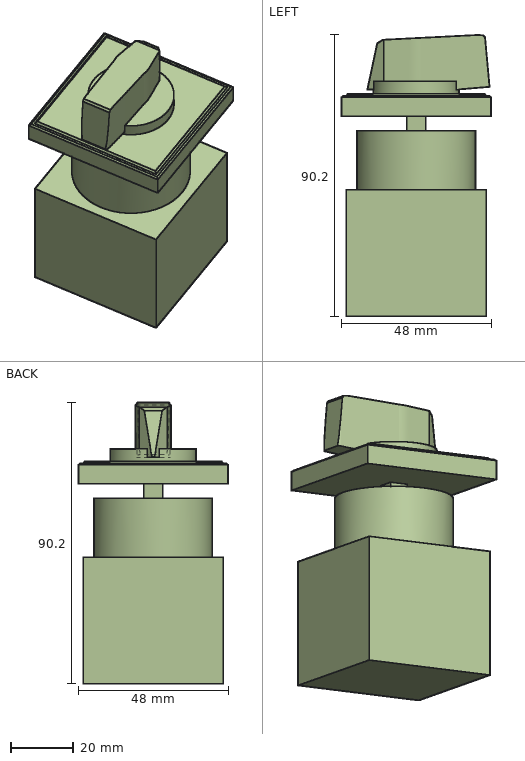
import cadquery as cq

block_width = 45.0
block_height = 40.6
collar_diameter = 38.1
collar_height = 18.9
shaft_width = 6.1
shaft_height = 4.5

collar_base_z = block_height
shaft_base_z = collar_base_z + collar_height
frame_base_z = shaft_base_z + shaft_height

frame_width = 48.0
frame_thickness = 6.6
frame_chamfer_run = 0.6
frame_chamfer_drop = 0.45
label_inset = 1.4
label_width = frame_width - 2 * label_inset
label_thickness = 0.6
label_chamfer_run = 0.6

label_base_z = frame_base_z + frame_thickness
knob_base_z = label_base_z + label_thickness

skirt_radius = 13.8
skirt_height = 4.1
knob_top_z = 90.2

pointer_tip_y = 15.7
pointer_tip_half_width = 0.9
pointer_tip_arc_start_y = 15.1
pointer_base_y = 10.4
pointer_base_half_width = 4.5
bulge_back_y = 2.6
bulge_front_y = -1.4
bulge_middle_y = (bulge_back_y + bulge_front_y) / 2
bulge_side_half_width = 5.6
bulge_half_width = 5.8
overhang_y = -12.9
overhang_half_width = 5.2
grip_end_y = -23.5
grip_end_half_width = 4.9
grip_corner_radius = 0.9

handle_base_z = 72.6
grip_toe_z = 73.5
grip_brow_y = -21.5
grip_brow_z = 90.1
grip_top_y = -22.1
grip_top_z = 89.4
grip_ridge_y = -19.7
pointer_ridge_y = 10.6
pointer_ridge_z = 88.7
pointer_shoulder_y = 12.5
pointer_shoulder_z = 87.5


def square_slab(width, height, base_z):
    return cq.Workplane("XY").workplane(offset=base_z).rect(width, width).extrude(height)


def make_collar():
    plane = cq.Workplane("XY").workplane(offset=collar_base_z)
    return plane.circle(collar_diameter / 2).extrude(collar_height)


def sloped_slab(width, height, inset, base_z):
    """Square slab whose sides slope inward by inset over its full height."""
    top_width = width - 2 * inset
    return (
        cq.Workplane("XY")
        .workplane(offset=base_z)
        .rect(width, width)
        .workplane(offset=height)
        .rect(top_width, top_width)
        .loft(ruled=True)
    )


def make_frame():
    """Square frame whose upper outer edge has a shallow chamfer."""
    side_height = frame_thickness - frame_chamfer_drop
    sides = square_slab(frame_width, side_height, frame_base_z)
    rim_z = frame_base_z + side_height
    return sides.union(sloped_slab(frame_width, frame_chamfer_drop, frame_chamfer_run, rim_z))


def make_handle():
    """Handle common to its extruded plan outline and its extruded side profile."""
    plan = (
        cq.Workplane("XY")
        .workplane(offset=handle_base_z)
        .moveTo(grip_end_half_width, grip_end_y)
        .lineTo(overhang_half_width, overhang_y)
        .lineTo(bulge_side_half_width, bulge_front_y)
        .threePointArc((bulge_half_width, bulge_middle_y), (bulge_side_half_width, bulge_back_y))
        .lineTo(pointer_base_half_width, pointer_base_y)
        .lineTo(pointer_tip_half_width, pointer_tip_arc_start_y)
        .threePointArc((0, pointer_tip_y), (-pointer_tip_half_width, pointer_tip_arc_start_y))
        .lineTo(-pointer_base_half_width, pointer_base_y)
        .lineTo(-bulge_side_half_width, bulge_back_y)
        .threePointArc((-bulge_half_width, bulge_middle_y), (-bulge_side_half_width, bulge_front_y))
        .lineTo(-overhang_half_width, overhang_y)
        .lineTo(-grip_end_half_width, grip_end_y)
        .close()
        .extrude(knob_top_z - handle_base_z)
        .edges("|Z and <Y")
        .fillet(grip_corner_radius)
    )
    profile = (
        cq.Workplane("YZ")
        .polyline([
            (pointer_tip_y, handle_base_z),
            (pointer_shoulder_y, pointer_shoulder_z),
            (pointer_ridge_y, pointer_ridge_z),
            (grip_ridge_y, knob_top_z),
            (grip_brow_y, grip_brow_z),
            (grip_top_y, grip_top_z),
            (grip_end_y, grip_toe_z),
            (overhang_y, handle_base_z),
        ])
        .close()
        .extrude(bulge_half_width, both=True)
    )
    return plan.intersect(profile)


def make_knob():
    """Round skirt and handle as one piece."""
    plane = cq.Workplane("XY").workplane(offset=knob_base_z)
    skirt = plane.circle(skirt_radius).extrude(skirt_height)
    return skirt.union(make_handle())


block = square_slab(block_width, block_height, 0)
collar = make_collar()
shaft = square_slab(shaft_width, shaft_height, shaft_base_z)
frame = make_frame()
label = sloped_slab(label_width, label_thickness, label_chamfer_run, label_base_z)
knob = make_knob()

result = cq.Compound.makeCompound([
    block.val(),
    collar.val(),
    shaft.val(),
    frame.val(),
    label.val(),
    knob.val(),
])